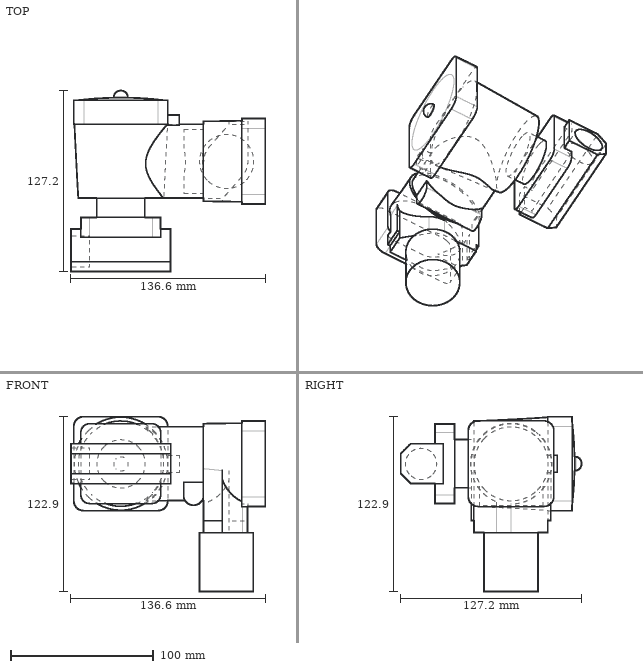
import cadquery as cq
import math


arm_radius = 26.0
arm_end_x = 58.1

barrel_front_y = -arm_radius
barrel_rear_y = arm_radius
barrel_front_radius = 30.0
barrel_rear_radius = 32.7
rear_flange_side = 66.2
rear_flange_thickness = 17.0
flange_corner_radius = 7.0
rear_face_y = barrel_rear_y + rear_flange_thickness
dome_radius = 29.5
dome_height = 1.8
button_radius = 5.0
button_edge_y = rear_face_y + 2.6
button_cap_height = 4.1

lower_lug_width = 14.0
lower_lug_bottom_z = -29.3
lower_lug_half_depth = 22.4

rear_lug_width = 8.0
rear_lug_height = 12.0
rear_lug_tip_y = 32.5

collar_length = 27.0
collar_start_radius = 28.2
collar_end_radius = 28.6
end_flange_side = 60.2
end_flange_thickness = 16.5
end_flange_x = arm_end_x + collar_length
leg_round_radius = 15.5
leg_center_x = arm_end_x + leg_round_radius
leg_half_depth = 26.0
leg_bottom_z = -48.5
cheek_width = 13.3
cheek_half_depth = 28.0
cheek_bottom_z = -40.0

pipe_radius = 19.0
pipe_center_x = 74.2
pipe_bottom_z = -89.8

spindle_radius = 17.0
plate_side = 56.0
plate_thickness = 14.0
plate_corner_radius = 6.0
plate_rear_y = -39.5
plate_front_y = plate_rear_y - plate_thickness

block_length = 70.0
block_height = 28.0
block_depth = 30.0
block_chamfer = 7.0
block_overlap_depth = 6.0
block_rear_y = plate_front_y + block_overlap_depth
block_front_y = block_rear_y - block_depth
bore_radius = 11.0
bore_depth = 13.0
bore_center_y = block_rear_y - 15.8


def cylinder_along_x(radius, start_x, end_x):
    return cq.Workplane("YZ", origin=(start_x, 0, 0)).circle(radius).extrude(end_x - start_x)


def square_plate_along_y(side, corner_radius, front_y, rear_y):
    """Square plate facing Y with rounded corners."""
    plate = cq.Workplane("XZ", origin=(0, rear_y, 0)).rect(side, side).extrude(rear_y - front_y)
    return plate.edges("|Y").fillet(corner_radius)


def make_capped_disc(radius, edge_y, cap_height):
    """Disc on the rear of the barrel, straight up to edge_y and closed by a spherical cap."""
    sphere_radius = (radius**2 + cap_height**2) / (2 * cap_height)
    sphere_center_y = edge_y + cap_height - sphere_radius
    mid_radius = radius / 2
    mid_y = sphere_center_y + math.sqrt(sphere_radius**2 - mid_radius**2)
    return (
        cq.Workplane("XY")
        .moveTo(0, barrel_rear_y)
        .lineTo(radius, barrel_rear_y)
        .lineTo(radius, edge_y)
        .threePointArc((mid_radius, mid_y), (0, edge_y + cap_height))
        .close()
        .revolve(360, (0, 0, 0), (0, 1, 0))
    )


def make_lower_lug():
    """Round-ended lug hanging below the end of the arm."""
    lug_radius = lower_lug_width / 2
    lug_center_x = arm_end_x - lug_radius
    lug_center_z = lower_lug_bottom_z + lug_radius
    return (
        cq.Workplane("XZ", origin=(0, lower_lug_half_depth, 0))
        .moveTo(arm_end_x - lower_lug_width, 0)
        .lineTo(arm_end_x - lower_lug_width, lug_center_z)
        .threePointArc((lug_center_x, lower_lug_bottom_z), (arm_end_x, lug_center_z))
        .lineTo(arm_end_x, 0)
        .close()
        .extrude(2 * lower_lug_half_depth)
    )


def make_rear_lug():
    """Small block on the side of the rear flange, hollowed underneath to clear the round arm."""
    lug = (
        cq.Workplane("XY", origin=(rear_flange_side / 2, 0, 0))
        .box(rear_lug_width, rear_lug_tip_y, rear_lug_height, centered=(False, False, True))
    )
    return lug.cut(cylinder_along_x(arm_radius, 0, arm_end_x))


def make_barrel():
    """Tapered body with square flange, dome, button and small lug as one body."""
    tapered_body = (
        cq.Workplane("XY")
        .moveTo(0, barrel_front_y)
        .lineTo(barrel_front_radius, barrel_front_y)
        .lineTo(barrel_rear_radius, barrel_rear_y)
        .lineTo(0, barrel_rear_y)
        .close()
        .revolve(360, (0, 0, 0), (0, 1, 0))
    )
    flange = square_plate_along_y(
        rear_flange_side, flange_corner_radius, barrel_rear_y, rear_face_y
    )
    dome = make_capped_disc(dome_radius, rear_face_y, dome_height)
    button = make_capped_disc(button_radius, button_edge_y, button_cap_height)
    return tapered_body.union(flange).union(dome).union(button).union(make_rear_lug())


def make_arm(seat):
    """Round arm with its lug, ending in a saddle that fits the side of the seat body."""
    arm = cylinder_along_x(arm_radius, 0, arm_end_x).union(make_lower_lug())
    return arm.cut(seat)


def make_leg():
    """Leg with a half-turn symmetric outline: two flat wings joined to a round core."""
    wing_x = cheek_width - leg_round_radius
    wing_distance = math.hypot(wing_x, leg_half_depth)
    tangent_angle = math.atan2(-leg_half_depth, wing_x) + math.acos(leg_round_radius / wing_distance)
    middle_angle = tangent_angle / 2
    tangent = (leg_round_radius * math.cos(tangent_angle), leg_round_radius * math.sin(tangent_angle))
    middle = (leg_round_radius * math.cos(middle_angle), leg_round_radius * math.sin(middle_angle))
    return (
        cq.Workplane("XY", origin=(leg_center_x, 0, leg_bottom_z))
        .moveTo(-leg_round_radius, 0)
        .lineTo(-leg_round_radius, -leg_half_depth)
        .lineTo(wing_x, -leg_half_depth)
        .lineTo(*tangent)
        .threePointArc(middle, (leg_round_radius, 0))
        .lineTo(leg_round_radius, leg_half_depth)
        .lineTo(-wing_x, leg_half_depth)
        .lineTo(-tangent[0], -tangent[1])
        .threePointArc((-middle[0], -middle[1]), (-leg_round_radius, 0))
        .close()
        .extrude(-leg_bottom_z)
    )


def make_cheek(side):
    """Thicker upper part of one leg wing; side is -1 for the -Y wing and +1 for the +Y wing."""
    cheek_x = leg_center_x + side * (leg_round_radius - cheek_width / 2)
    return (
        cq.Workplane("XY", origin=(cheek_x, side * cheek_half_depth / 2, cheek_bottom_z))
        .rect(cheek_width, cheek_half_depth)
        .extrude(-cheek_bottom_z)
    )


def make_elbow():
    """Collar, end flange and leg as one body."""
    collar = (
        cq.Workplane("XY")
        .moveTo(arm_end_x, 0)
        .lineTo(arm_end_x, collar_start_radius)
        .lineTo(end_flange_x, collar_end_radius)
        .lineTo(end_flange_x, 0)
        .close()
        .revolve(360, (0, 0, 0), (1, 0, 0))
    )
    end_flange = (
        cq.Workplane("YZ", origin=(end_flange_x, 0, 0))
        .rect(end_flange_side, end_flange_side)
        .extrude(end_flange_thickness)
        .edges("|X")
        .fillet(flange_corner_radius)
    )
    elbow = collar.union(end_flange).union(make_leg())
    for side in (-1, 1):
        elbow = elbow.union(make_cheek(side))
    return elbow


def make_pipe():
    return (
        cq.Workplane("XY", origin=(pipe_center_x, 0, pipe_bottom_z))
        .circle(pipe_radius)
        .extrude(leg_bottom_z - pipe_bottom_z)
    )


def make_block():
    """Bar along X with its two front edges chamfered."""
    block_center_y = (block_rear_y + block_front_y) / 2
    return (
        cq.Workplane("XY")
        .box(block_length, block_depth, block_height)
        .translate((0, block_center_y, 0))
        .faces("<Y")
        .edges("|X")
        .chamfer(block_chamfer)
    )


def make_bore():
    """Blind bore in the -X end of the block."""
    return (
        cq.Workplane("YZ", origin=(-block_length / 2, bore_center_y, 0))
        .circle(bore_radius)
        .extrude(bore_depth)
    )


def make_gripper():
    """Spindle, square plate and bored block as one body."""
    spindle = (
        cq.Workplane("XZ", origin=(0, barrel_front_y, 0))
        .circle(spindle_radius)
        .extrude(barrel_front_y - plate_rear_y)
    )
    plate = square_plate_along_y(plate_side, plate_corner_radius, plate_front_y, plate_rear_y)
    return spindle.union(plate).union(make_block()).cut(make_bore())


barrel = make_barrel()
arm = make_arm(barrel)
elbow = make_elbow()
pipe = make_pipe()
gripper = make_gripper()

result = cq.Compound.makeCompound(
    [barrel.val(), arm.val(), elbow.val(), pipe.val(), gripper.val()]
)